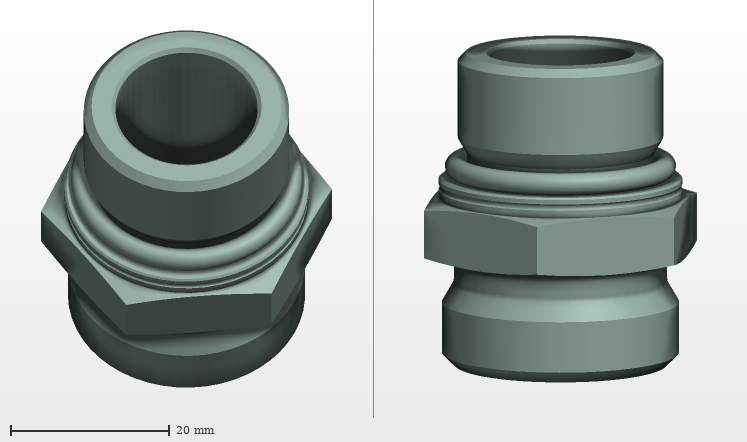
import cadquery as cq
import math

height = 40.0
bore_radius = 18.0 / 2
bore_chamfer = 0.5
cone_angle = 30.0

lower_radius = 30.0 / 2
lower_chamfer = 1.5
lower_neck_radius = 27.0 / 2
lower_cone_start = 8.0
lower_neck_fillet = 1.0
hex_root_fillet = 1.1

hex_flats = 32.0
hex_bottom = 14.0
hex_top = 21.5
hex_chamfer_radius = 15.9
hex_chamfer_angle = 15.0

collar_radius = 30.9 / 2
collar_top = 24.0
collar_chamfer = 0.25
groove_center_z = 22.8
groove_half_width = 0.4
groove_depth = 0.3

upper_radius = 26.0 / 2
upper_chamfer = 1.0
upper_neck_radius = 23.65 / 2
upper_cone_top = 29.1

ring_section_radius = 1.4


def cone_height(outer_radius, inner_radius):
    """Axial length of a run-out cone between two radii."""
    return (outer_radius - inner_radius) / math.tan(math.radians(cone_angle))


def revolve_profile(profile):
    """Revolve a closed radius/height profile about the Z axis."""
    return profile.close().revolve(360, (0, 0, 0), (0, 1, 0))


def make_lower_stud():
    cone_top = lower_cone_start + cone_height(lower_radius, lower_neck_radius)

    blend_length = lower_neck_fillet * math.tan(math.radians(cone_angle / 2))
    blend_start = (
        lower_neck_radius + blend_length * math.sin(math.radians(cone_angle)),
        cone_top - blend_length * math.cos(math.radians(cone_angle)),
    )
    blend_end = (lower_neck_radius, cone_top + blend_length)

    profile = (
        cq.Workplane("XZ")
        .lineTo(lower_radius - lower_chamfer, 0)
        .lineTo(lower_radius, lower_chamfer)
        .lineTo(lower_radius, lower_cone_start)
        .lineTo(*blend_start)
        .radiusArc(blend_end, lower_neck_fillet)
        .lineTo(lower_neck_radius, hex_bottom - hex_root_fillet)
        .radiusArc((lower_neck_radius + hex_root_fillet, hex_bottom), hex_root_fillet)
        .lineTo(0, hex_bottom)
    )
    return revolve_profile(profile)


def make_hexagon():
    corner_radius = hex_flats / math.sqrt(3)
    prism = (
        cq.Workplane("XY", origin=(0, 0, hex_bottom))
        .polygon(6, 2 * corner_radius)
        .extrude(hex_top - hex_bottom)
        .rotate((0, 0, 0), (0, 0, 1), 90)
    )
    chamfer_width = corner_radius + 0.4 - hex_chamfer_radius
    chamfer_drop = chamfer_width * math.tan(math.radians(hex_chamfer_angle))
    envelope = revolve_profile(
        cq.Workplane("XZ")
        .moveTo(0, hex_bottom)
        .lineTo(hex_chamfer_radius, hex_bottom)
        .lineTo(hex_chamfer_radius + chamfer_width, hex_bottom + chamfer_drop)
        .lineTo(hex_chamfer_radius + chamfer_width, hex_top - chamfer_drop)
        .lineTo(hex_chamfer_radius, hex_top)
        .lineTo(0, hex_top)
    )
    return prism.intersect(envelope)


def make_collar():
    profile = (
        cq.Workplane("XZ")
        .moveTo(0, hex_top)
        .lineTo(collar_radius, hex_top)
        .lineTo(collar_radius, groove_center_z - groove_half_width)
        .threePointArc(
            (collar_radius - groove_depth, groove_center_z),
            (collar_radius, groove_center_z + groove_half_width),
        )
        .lineTo(collar_radius, collar_top - collar_chamfer)
        .lineTo(collar_radius - collar_chamfer, collar_top)
        .lineTo(0, collar_top)
    )
    return revolve_profile(profile)


def make_upper_stud():
    neck_top = upper_cone_top - cone_height(upper_radius, upper_neck_radius)
    profile = (
        cq.Workplane("XZ")
        .moveTo(0, collar_top)
        .lineTo(upper_neck_radius, collar_top)
        .lineTo(upper_neck_radius, neck_top)
        .lineTo(upper_radius, upper_cone_top)
        .lineTo(upper_radius, height - upper_chamfer)
        .lineTo(upper_radius - upper_chamfer, height)
        .lineTo(0, height)
    )
    return revolve_profile(profile)


def make_bore():
    """Through bore with a chamfered mouth at the top."""
    profile = (
        cq.Workplane("XZ")
        .lineTo(bore_radius, 0)
        .lineTo(bore_radius, height - bore_chamfer)
        .lineTo(bore_radius + bore_chamfer, height)
        .lineTo(0, height)
    )
    return revolve_profile(profile)


def make_fitting():
    outside = make_lower_stud().union(make_hexagon()).union(make_collar()).union(make_upper_stud())
    return outside.cut(make_bore()).solids()


def make_sealing_ring():
    center_radius = upper_neck_radius + ring_section_radius
    return (
        cq.Workplane("XZ")
        .moveTo(center_radius, collar_top + ring_section_radius)
        .circle(ring_section_radius)
        .revolve(360, (0, 0, 0), (0, 1, 0))
    )


fitting = make_fitting()
sealing_ring = make_sealing_ring()

result = cq.Compound.makeCompound([fitting.val(), sealing_ring.val()])